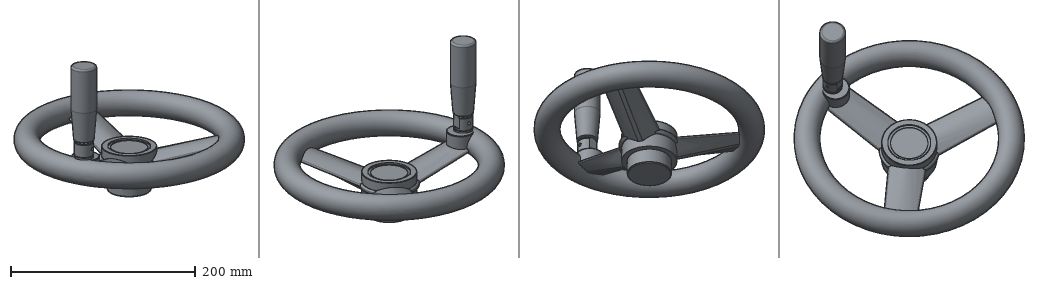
import cadquery as cq
import math

OUTER_DIAMETER = 250.0
RIM_THICKNESS = 28.2
RIM_TUBE_RADIUS = RIM_THICKNESS / 2
RIM_RADIUS = OUTER_DIAMETER / 2 - RIM_TUBE_RADIUS

HUB_DIAMETER = 60.0
HUB_TOP = -7.5
HUB_SHOULDER = -41.0
HUB_BOTTOM = -58.0
HUB_TOP_CHAMFER = 0.5
NOSE_DIAMETER = 48.0
NOSE_CHAMFER = 1.0
RECESS_DIAMETER = 46.5
RECESS_DEPTH = 1.2
FACE_DIAMETER = 40.5
FACE_GROOVE_DEPTH = 0.5

COLLAR_DIAMETER = 65.5
COLLAR_TOP = -18.5
COLLAR_BOTTOM = -24.2
COLLAR_FILLET = 2.2

SPOKE_COUNT = 3
FIRST_SPOKE_ANGLE = -90
SPOKE_INNER_END = 15.0
SPOKE_OUTER_END = RIM_RADIUS - 1.0
SPOKE_EDGE_SLOPE = 0.235
SPOKE_EDGE_AXIS_HEIGHT = -26.5
SPOKE_EDGE_THICKNESS = 2.5
SPOKE_EDGE_ROUNDING = 1.2
SPOKE_KEEL_SLOPE = 0.37
SPOKE_KEEL_AXIS_HEIGHT = -44.7
SPOKE_KEEL_HALF_WIDTH = 2.5
SPOKE_AXIS_HALF_WIDTH = 21.2
SPOKE_SIDE_TAPER = 0.03
SPOKE_CROWN_RADIUS = 37.5

BOSS_RADIUS = 15.2
BOSS_OFFSET = 98.2
BOSS_TOP = 13.7
BOSS_BOTTOM = -5.0
BOSS_CHAMFER = 0.7

HANDLE_OFFSET = 102.0
SPINDLE_DIAMETER = 21.0
SPINDLE_RADIUS = SPINDLE_DIAMETER / 2
SPINDLE_BOTTOM = RIM_TUBE_RADIUS
SPINDLE_TOP = 33.2
SPINDLE_TOP_CHAMFER = 1.0
GROOVE_HEIGHTS = (16.5, 31.5)
GROOVE_WIDTH = 0.7
GROOVE_DEPTH = 0.2
FLAT_BOTTOM = 19.0
FLAT_DISTANCE = 9.2
STEM_DIAMETER = 12.0
CROSS_HOLE_DIAMETER = 3.5
CROSS_HOLE_HEIGHT = 25.0

GRIP_BOTTOM = 34.7
GRIP_TAPER_TOP = 69.7
GRIP_TOP = 119.7
GRIP_RADIUS = 14.0
GRIP_BOTTOM_RADIUS = 11.2
GRIP_FILLET = 2.2


def cylinder(diameter, bottom, top):
    """Cylinder on the Z axis between two heights."""
    return cq.Workplane("XY").workplane(offset=bottom).circle(diameter / 2).extrude(top - bottom)


def make_rim():
    section = cq.Workplane("XZ").center(RIM_RADIUS, 0).circle(RIM_TUBE_RADIUS)
    return section.revolve(360, (-RIM_RADIUS, 0, 0), (-RIM_RADIUS, 1, 0))


def make_hub():
    hub = cylinder(HUB_DIAMETER, HUB_SHOULDER, HUB_TOP).faces(">Z").edges().chamfer(HUB_TOP_CHAMFER)
    nose = cylinder(NOSE_DIAMETER, HUB_BOTTOM, HUB_SHOULDER).faces("<Z").edges().chamfer(NOSE_CHAMFER)
    collar = cylinder(COLLAR_DIAMETER, COLLAR_BOTTOM, COLLAR_TOP).edges().fillet(COLLAR_FILLET)
    return hub.union(nose).union(collar)


def cut_hub_recess(hub):
    """Sink a round face into the hub top, with a shallow ring groove around it."""
    floor = HUB_TOP - RECESS_DEPTH
    recess = cylinder(RECESS_DIAMETER, floor, HUB_TOP)
    groove = cylinder(RECESS_DIAMETER, floor - FACE_GROOVE_DEPTH, floor)
    groove = groove.cut(cylinder(FACE_DIAMETER, floor - FACE_GROOVE_DEPTH, floor))
    return hub.cut(recess).cut(groove)


def spoke_section(distance):
    """Closed cross-section of a spoke: arched top, round edges, V-shaped underside with a flat keel."""
    half_width = SPOKE_AXIS_HALF_WIDTH - SPOKE_SIDE_TAPER * distance
    edge = half_width - SPOKE_EDGE_ROUNDING
    edge_middle = SPOKE_EDGE_AXIS_HEIGHT + SPOKE_EDGE_SLOPE * distance
    edge_top = edge_middle + SPOKE_EDGE_THICKNESS / 2
    edge_bottom = edge_middle - SPOKE_EDGE_THICKNESS / 2
    crown = edge_top + SPOKE_CROWN_RADIUS - math.sqrt(SPOKE_CROWN_RADIUS**2 - edge**2)
    keel = SPOKE_KEEL_AXIS_HEIGHT + SPOKE_KEEL_SLOPE * distance
    outline = (
        cq.Workplane(cq.Plane((distance, 0, 0), xDir=(0, 1, 0), normal=(1, 0, 0)))
        .moveTo(-edge, edge_top)
        .threePointArc((0, crown), (edge, edge_top))
        .threePointArc((half_width, edge_middle), (edge, edge_bottom))
        .lineTo(SPOKE_KEEL_HALF_WIDTH, keel)
        .lineTo(-SPOKE_KEEL_HALF_WIDTH, keel)
        .lineTo(-edge, edge_bottom)
        .threePointArc((-half_width, edge_middle), (-edge, edge_top))
    )
    return outline.wire().val()


def make_spoke(angle):
    sections = [spoke_section(SPOKE_INNER_END), spoke_section(SPOKE_OUTER_END)]
    spoke = cq.Solid.makeLoft(sections, True)
    return cq.Workplane(spoke).rotate((0, 0, 0), (0, 0, 1), angle)


def make_boss():
    boss = cylinder(2 * BOSS_RADIUS, BOSS_BOTTOM, BOSS_TOP).faces(">Z").edges().chamfer(BOSS_CHAMFER)
    return boss.rotate((0, 0, 0), (0, 0, 1), 90).translate((0, -BOSS_OFFSET, 0))


def make_wheel():
    wheel = make_rim().union(make_boss()).union(cut_hub_recess(make_hub()))
    for index in range(SPOKE_COUNT):
        wheel = wheel.union(make_spoke(FIRST_SPOKE_ANGLE + index * 360 / SPOKE_COUNT))
    return wheel


def make_spindle():
    spindle = cylinder(SPINDLE_DIAMETER, SPINDLE_BOTTOM, SPINDLE_TOP)
    spindle = spindle.faces(">Z").edges().chamfer(SPINDLE_TOP_CHAMFER)
    for height in GROOVE_HEIGHTS:
        bottom = height - GROOVE_WIDTH / 2
        top = height + GROOVE_WIDTH / 2
        core = cylinder(SPINDLE_DIAMETER - 2 * GROOVE_DEPTH, bottom, top)
        spindle = spindle.cut(cylinder(SPINDLE_DIAMETER, bottom, top).cut(core))

    flat = cq.Workplane("XY").box(
        SPINDLE_DIAMETER, SPINDLE_DIAMETER, SPINDLE_TOP - FLAT_BOTTOM, centered=(True, False, False)
    )
    spindle = spindle.cut(flat.translate((0, FLAT_DISTANCE, FLAT_BOTTOM)))

    cross_hole = cq.Workplane("YZ").center(0, CROSS_HOLE_HEIGHT).circle(CROSS_HOLE_DIAMETER / 2)
    cross_hole = cross_hole.extrude(SPINDLE_RADIUS, both=True)
    stem = cylinder(STEM_DIAMETER, SPINDLE_TOP, GRIP_BOTTOM)
    return spindle.cut(cross_hole).union(stem).translate((0, -HANDLE_OFFSET, 0))


def make_grip():
    profile = (
        cq.Workplane("XZ")
        .moveTo(0, GRIP_BOTTOM)
        .lineTo(GRIP_BOTTOM_RADIUS, GRIP_BOTTOM)
        .lineTo(GRIP_RADIUS, GRIP_TAPER_TOP)
        .lineTo(GRIP_RADIUS, GRIP_TOP)
        .lineTo(0, GRIP_TOP)
        .close()
    )
    grip = profile.revolve(360, (0, 0, 0), (0, 1, 0)).faces(">Z").edges().fillet(GRIP_FILLET)
    return grip.translate((0, -HANDLE_OFFSET, 0))


wheel = make_wheel()
spindle = make_spindle()
grip = make_grip()

result = cq.Compound.makeCompound([wheel.solids().val(), spindle.solids().val(), grip.solids().val()])